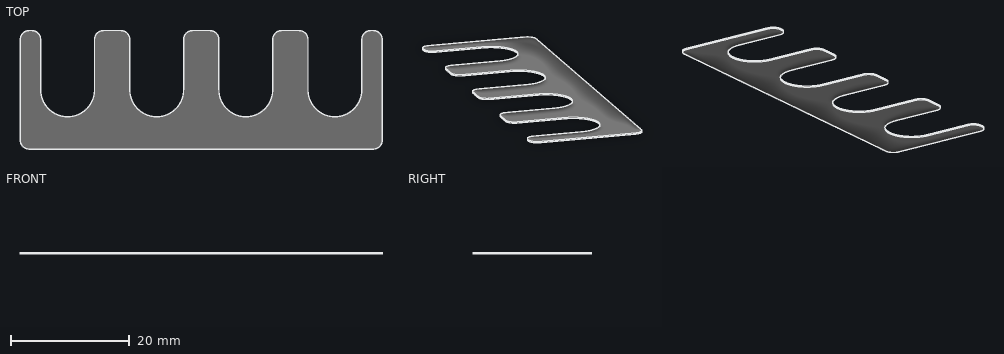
import cadquery as cq

length = 61.0
width = 20.0
thickness = 0.25
corner_radius = 1.5

slot_count = 4
slot_pitch = 15.0
slot_width = 9.0
spine_width = 5.5

slot_radius = slot_width / 2
slot_arc_y = spine_width + slot_radius


def slot_cutter(center_x):
    """U-shaped slot, open through the +Y edge of the plate."""
    return (
        cq.Workplane("XY")
        .moveTo(center_x - slot_radius, width)
        .lineTo(center_x - slot_radius, slot_arc_y)
        .threePointArc((center_x, spine_width), (center_x + slot_radius, slot_arc_y))
        .lineTo(center_x + slot_radius, width)
        .close()
        .extrude(thickness)
    )


plate = cq.Workplane("XY").box(length, width, thickness, centered=(True, False, False))

for index in range(slot_count):
    slot_x = (index - (slot_count - 1) / 2) * slot_pitch
    plate = plate.cut(slot_cutter(slot_x))

lower_corners = plate.faces("<Y").edges("|Z")
fingertip_corners = plate.faces(">Y").edges("|Z")
result = plate.newObject(lower_corners.vals() + fingertip_corners.vals()).fillet(corner_radius)